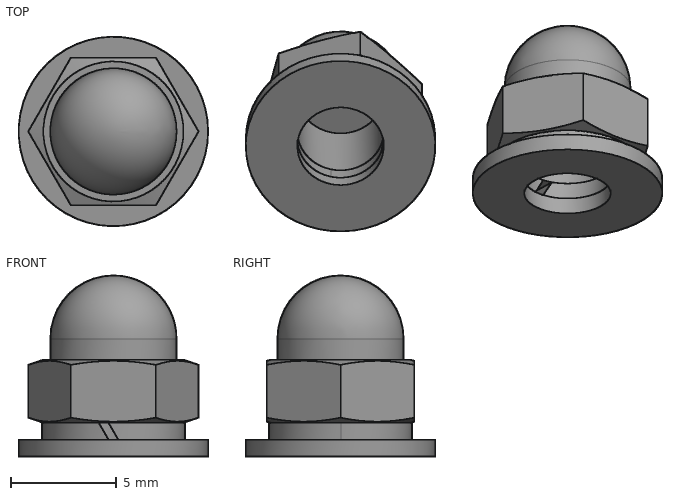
import cadquery as cq
import math

bore_diameter = 4.1

washer_diameter = 9.0
washer_thickness = 0.8

lock_diameter = 6.8
lock_thickness = 0.8
split_width = 0.4
split_angle = 30.0

nut_sides = 6
nut_across_flats = 7.0
nut_height = 3.0
nut_face_diameter = 6.65
nut_chamfer_angle = 19.0
dome_diameter = 6.0
collar_height = 1.0

lock_base = washer_thickness
nut_base = lock_base + lock_thickness
nut_top = nut_base + nut_height
dome_base = nut_top + collar_height
dome_radius = dome_diameter / 2
nut_across_corners = nut_across_flats / math.cos(math.pi / nut_sides)


def make_ring(diameter, thickness, base):
    """Flat ring around Z with the common bore."""
    return (
        cq.Workplane("XY", origin=(0, 0, base))
        .circle(diameter / 2)
        .circle(bore_diameter / 2)
        .extrude(thickness)
    )


def make_lock_washer():
    """Ring cut open on its -Y side by a slanted slot centred on X = 0 at its lower face."""
    ring = make_ring(lock_diameter, lock_thickness, lock_base)
    lean = math.radians(split_angle)
    half_gap = split_width / math.cos(lean) / 2
    shift = lock_thickness * math.tan(lean)
    split = (
        cq.Workplane("XZ", origin=(0, 0, lock_base))
        .polyline([
            (-half_gap, 0),
            (half_gap, 0),
            (half_gap - shift, lock_thickness),
            (-half_gap - shift, lock_thickness),
        ])
        .close()
        .extrude(lock_diameter)
    )
    return ring.cut(split)


def make_hex():
    """Hexagonal prism with corners on X, both ends trimmed by a shallow cone."""
    prism = (
        cq.Workplane("XY", origin=(0, 0, nut_base))
        .polygon(nut_sides, nut_across_corners)
        .extrude(nut_height)
    )
    face_radius = nut_face_diameter / 2
    corner_radius = nut_across_corners / 2
    drop = (corner_radius - face_radius) * math.tan(math.radians(nut_chamfer_angle))
    envelope = (
        cq.Workplane("XZ")
        .polyline([
            (0, nut_base),
            (face_radius, nut_base),
            (corner_radius, nut_base + drop),
            (corner_radius, nut_top - drop),
            (face_radius, nut_top),
            (0, nut_top),
        ])
        .close()
        .revolve(360, (0, 0), (0, 1))
    )
    return prism.intersect(envelope)


def make_cap():
    """Round collar closed by a hemisphere."""
    arc_offset = dome_radius * math.sqrt(0.5)
    return (
        cq.Workplane("XZ")
        .moveTo(0, nut_base)
        .lineTo(dome_radius, nut_base)
        .lineTo(dome_radius, dome_base)
        .threePointArc((arc_offset, dome_base + arc_offset), (0, dome_base + dome_radius))
        .close()
        .revolve(360, (0, 0), (0, 1))
    )


def make_cap_nut():
    """Hexagon and cap in one piece, with a blind bore that stops where the dome begins."""
    bore = (
        cq.Workplane("XY", origin=(0, 0, nut_base))
        .circle(bore_diameter / 2)
        .extrude(dome_base - nut_base)
    )
    return make_hex().union(make_cap()).cut(bore)


flat_washer = make_ring(washer_diameter, washer_thickness, 0)
lock_washer = make_lock_washer()
cap_nut = make_cap_nut()

result = cq.Compound.makeCompound([flat_washer.val(), lock_washer.val(), cap_nut.val()])